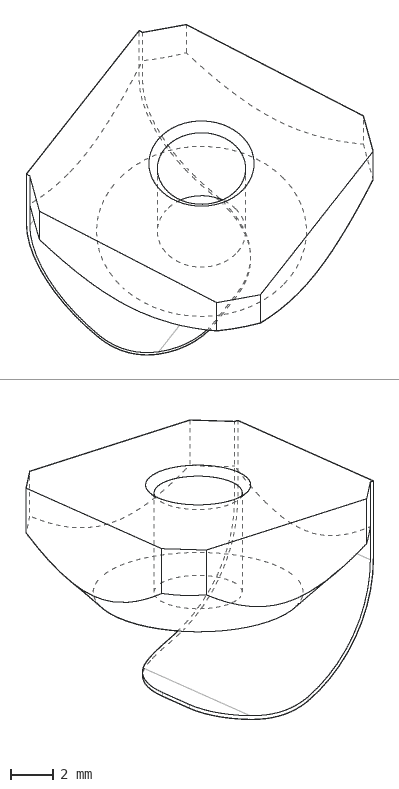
import cadquery as cq
import math

spring_thickness = 0.2
nut_width = 13.0
nut_height = 5.5
corner_cut = 1.5
half_width = nut_width / 2
flat_half_length = half_width - corner_cut

cone_bottom_radius = flat_half_length
cone_top_radius = cone_bottom_radius + nut_height

hole_diameter = 4.2
hole_mouth_diameter = 5.0
hole_chamfer = (hole_mouth_diameter - hole_diameter) / 2

spring_width = 2 * flat_half_length
spring_straight_length = 4.0
spring_outer_radius = 6.8
spring_tail_length = 1.3
spring_tip_radius = 4.0
spring_inner_radius = spring_outer_radius - spring_thickness
spring_outer_x = -half_width - spring_thickness
spring_bend_x = spring_outer_x + spring_outer_radius
spring_tip_x = spring_bend_x + spring_tail_length
spring_bottom_z = -spring_straight_length - spring_outer_radius


def make_nut():
    """Square body, top face at Z = 0, trimmed below by a cone."""
    body = (
        cq.Workplane("XY")
        .rect(nut_width, nut_width)
        .extrude(-nut_height)
        .edges("|Z")
        .chamfer(corner_cut)
    )
    cone = (
        cq.Workplane("XZ")
        .moveTo(0, 0)
        .lineTo(cone_top_radius, 0)
        .lineTo(cone_bottom_radius, -nut_height)
        .lineTo(0, -nut_height)
        .close()
        .revolve(360, (0, 0, 0), (0, 1, 0))
    )
    return body.intersect(cone)


def make_hole():
    """Through hole with a 45 degree countersink at the top."""
    return (
        cq.Workplane("XZ")
        .lineTo(hole_mouth_diameter / 2, 0)
        .lineTo(hole_diameter / 2, -hole_chamfer)
        .lineTo(hole_diameter / 2, -nut_height)
        .lineTo(0, -nut_height)
        .close()
        .revolve(360, (0, 0, 0), (0, 1, 0))
    )


def make_spring():
    """Thin strip: straight down, a quarter turn, then a tail with rounded tip corners."""
    diagonal = math.sqrt(0.5)
    bend_z = -spring_straight_length
    strip = (
        cq.Workplane("XZ")
        .moveTo(spring_outer_x, 0)
        .lineTo(spring_outer_x, bend_z)
        .threePointArc(
            (spring_bend_x - spring_outer_radius * diagonal, bend_z - spring_outer_radius * diagonal),
            (spring_bend_x, spring_bottom_z),
        )
        .lineTo(spring_tip_x, spring_bottom_z)
        .lineTo(spring_tip_x, spring_bottom_z + spring_thickness)
        .lineTo(spring_bend_x, spring_bottom_z + spring_thickness)
        .threePointArc(
            (spring_bend_x - spring_inner_radius * diagonal, bend_z - spring_inner_radius * diagonal),
            (-half_width, bend_z),
        )
        .lineTo(-half_width, 0)
        .close()
        .extrude(spring_width / 2, both=True)
    )
    plan_length = spring_tip_x - spring_outer_x
    plan = (
        cq.Workplane("XY", origin=(spring_outer_x + plan_length / 2, 0, spring_bottom_z))
        .rect(plan_length, spring_width)
        .extrude(-spring_bottom_z)
        .edges("|Z and >X")
        .fillet(spring_tip_radius)
    )
    return strip.intersect(plan)


result = make_nut().cut(make_hole()).union(make_spring())